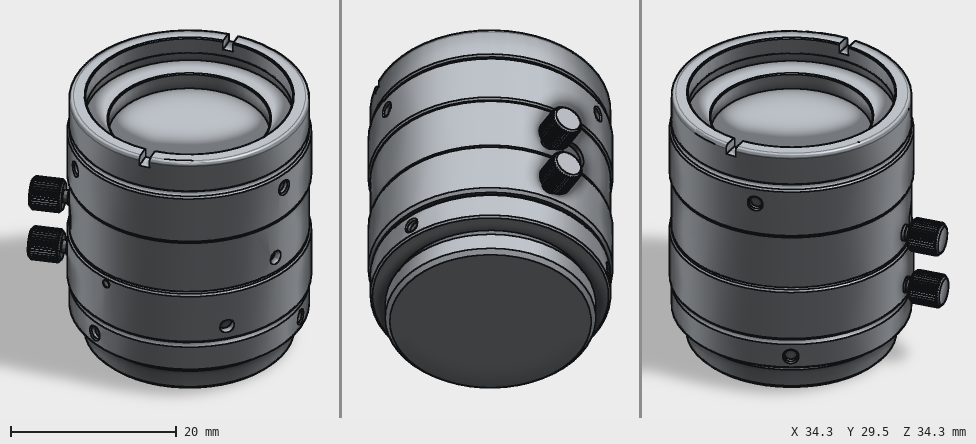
import cadquery as cq
import math


SMALL_RING_RADIUS = 14.5
LARGE_RING_RADIUS = 14.75
CORE_RADIUS = 14.0
MOUNT_RADIUS = 12.7
MOUNT_RELIEF_RADIUS = 12.0
NECK_RADIUS = 10.85

MOUNT_TOP = 2.8
REAR_RING_BOTTOM = 4.05
REAR_RING_TOP = 7.9
FOCUS_RING_BOTTOM = 8.1
FOCUS_RING_TOP = 15.25
IRIS_RING_BOTTOM = 15.55
IRIS_RING_TOP = 22.6
FRONT_RING_BOTTOM = 22.8
FRONT_RING_TOP = 29.45
BARREL_BOTTOM = 29.95
BARREL_TOP = 34.31

SMALL_CHAMFER = 0.25
LARGE_CHAMFER = 0.4
MOUNT_CHAMFER = 0.55
BARREL_FILLET = 0.5

FILTER_RADIUS = 12.5
FILTER_LENGTH = 2.2
FILTER_RELIEF_RADIUS = 12.65
POCKET_DEPTH = 3.35
BORE_RADIUS = 9.75
BORE_DEPTH = 5.5
OPENING_CHAMFER = 0.15
SPANNER_SLOT_WIDTH = 1.3
SPANNER_SLOT_DEPTH = 1.25
BORE_FLOOR = BARREL_TOP - BORE_DEPTH

SET_HOLE_RADIUS = 0.8
SET_HOLE_DEPTH = 0.7
SET_HOLE_CHAMFER = 0.2
SET_HOLE_COUNT = 3
SET_HOLE_PITCH = 360 / SET_HOLE_COUNT
FRONT_HOLE_ANGLE = 103
FRONT_HOLE_HEIGHT = 27.2
REAR_HOLE_ANGLE = 0
REAR_HOLE_HEIGHT = 5.8

FOCUS_SCREW_HEIGHT = 10.25
IRIS_SCREW_HEIGHT = 17.55
SCREW_ANGLE = 190
FOCUS_SCREW_REACH = 19.6
IRIS_SCREW_REACH = 19.45
HEAD_LENGTH = 4.0
HEAD_CHAMFER = 0.4
KNURL_TIP_RADIUS = 2.05
KNURL_ROOT_RADIUS = 1.85
KNURL_TEETH = 36
SCREW_NECK_RADIUS = 0.8
SCREW_NECK_LENGTH = 0.6
SHANK_RADIUS = 1.0

PLAIN_HOLE_RADIUS = 0.9
PLAIN_HOLE_DEPTH = 1.0
FOCUS_HOLE_ANGLE = 310
IRIS_HOLE_ANGLE = 338
SPOTFACE_RADIUS = 1.75
SPOTFACE_DEPTH = 0.6
SPOTFACE_ANGLE = 205

DOT_RADIUS = 0.5
DOT_DEPTH = 0.1
DOT_ANGLE = 249
DOT_HEIGHT = 14.2


def disc(bottom, top, radius, bottom_chamfer=0, top_chamfer=0):
    """Round disc on the Z axis with optional chamfers on its rims."""
    body = cq.Workplane("XY").workplane(offset=bottom).circle(radius).extrude(top - bottom)
    if bottom_chamfer:
        body = body.faces("<Z").chamfer(bottom_chamfer)
    if top_chamfer:
        body = body.faces(">Z").chamfer(top_chamfer)
    return body


def radial_plane(angle, distance, height):
    """Workplane facing outward at an angle around the Z axis and a distance from it."""
    outward = cq.Vector(math.cos(math.radians(angle)), math.sin(math.radians(angle)), 0)
    origin = outward * distance + cq.Vector(0, 0, height)
    return cq.Workplane(cq.Plane(origin=origin, xDir=(0, 0, 1), normal=outward))


def radial_hole(surface_radius, angle, height, radius, depth):
    """Cutter for a flat-bottomed radial hole in a ring."""
    return radial_plane(angle, surface_radius - depth, height).circle(radius).extrude(2 * depth)


def set_hole(surface_radius, angle, height):
    """Cutter for a set screw hole with a chamfered mouth."""
    hole = radial_hole(surface_radius, angle, height, SET_HOLE_RADIUS, SET_HOLE_DEPTH)
    mouth = (
        radial_plane(angle, surface_radius - SET_HOLE_CHAMFER, height)
        .circle(SET_HOLE_RADIUS)
        .workplane(offset=SET_HOLE_CHAMFER)
        .circle(SET_HOLE_RADIUS + SET_HOLE_CHAMFER)
        .loft()
    )
    return hole.union(mouth)


def thumbscrew(reach, height):
    """Knurled radial screw whose outer face is at `reach` from the Z axis."""
    head_base = reach - HEAD_LENGTH
    shank_end = head_base - SCREW_NECK_LENGTH
    half_tooth = math.pi / KNURL_TEETH
    knurl_points = []
    for i in range(2 * KNURL_TEETH):
        radius = KNURL_ROOT_RADIUS if i % 2 else KNURL_TIP_RADIUS
        angle = i * half_tooth
        knurl_points.append((radius * math.cos(angle), radius * math.sin(angle)))

    base = radial_plane(SCREW_ANGLE, head_base, height)
    knurl = base.polyline(knurl_points).close().extrude(HEAD_LENGTH)
    envelope = base.circle(KNURL_TIP_RADIUS).extrude(HEAD_LENGTH).edges().chamfer(HEAD_CHAMFER)
    neck = base.circle(SCREW_NECK_RADIUS).extrude(-SCREW_NECK_LENGTH)
    shank_root = radial_plane(SCREW_ANGLE, CORE_RADIUS, height)
    shank = shank_root.circle(SHANK_RADIUS).extrude(shank_end - CORE_RADIUS)
    return knurl.intersect(envelope).union(neck).union(shank)


def make_housing():
    """Mount, core and the four rings, with holes and both thumbscrews."""
    body = disc(0, MOUNT_TOP, MOUNT_RADIUS, bottom_chamfer=MOUNT_CHAMFER)
    body = body.union(disc(MOUNT_TOP, REAR_RING_BOTTOM, MOUNT_RELIEF_RADIUS))
    body = body.union(disc(REAR_RING_TOP, FRONT_RING_BOTTOM, CORE_RADIUS))
    rings = [
        disc(REAR_RING_BOTTOM, REAR_RING_TOP, SMALL_RING_RADIUS, SMALL_CHAMFER, LARGE_CHAMFER),
        disc(FOCUS_RING_BOTTOM, FOCUS_RING_TOP, LARGE_RING_RADIUS, LARGE_CHAMFER, SMALL_CHAMFER),
        disc(IRIS_RING_BOTTOM, IRIS_RING_TOP, SMALL_RING_RADIUS),
        disc(FRONT_RING_BOTTOM, FRONT_RING_TOP, LARGE_RING_RADIUS, SMALL_CHAMFER, SMALL_CHAMFER),
    ]
    for ring in rings:
        body = body.union(ring)

    body = body.cut(disc(BORE_FLOOR, FRONT_RING_TOP, NECK_RADIUS))

    for i in range(SET_HOLE_COUNT):
        turn = i * SET_HOLE_PITCH
        body = body.cut(set_hole(LARGE_RING_RADIUS, FRONT_HOLE_ANGLE + turn, FRONT_HOLE_HEIGHT))
        body = body.cut(set_hole(SMALL_RING_RADIUS, REAR_HOLE_ANGLE + turn, REAR_HOLE_HEIGHT))

    plain_holes = [
        (LARGE_RING_RADIUS, FOCUS_HOLE_ANGLE, FOCUS_SCREW_HEIGHT, PLAIN_HOLE_RADIUS, PLAIN_HOLE_DEPTH),
        (SMALL_RING_RADIUS, IRIS_HOLE_ANGLE, IRIS_SCREW_HEIGHT, PLAIN_HOLE_RADIUS, PLAIN_HOLE_DEPTH),
        (SMALL_RING_RADIUS, SPOTFACE_ANGLE, IRIS_SCREW_HEIGHT, SPOTFACE_RADIUS, SPOTFACE_DEPTH),
        (LARGE_RING_RADIUS, DOT_ANGLE, DOT_HEIGHT, DOT_RADIUS, DOT_DEPTH),
    ]
    for hole in plain_holes:
        body = body.cut(radial_hole(*hole))

    body = body.union(thumbscrew(FOCUS_SCREW_REACH, FOCUS_SCREW_HEIGHT))
    return body.union(thumbscrew(IRIS_SCREW_REACH, IRIS_SCREW_HEIGHT))


def flared_mouth(top, radius):
    """Cutter that chamfers the upper rim of a bore."""
    mouth = cq.Workplane("XY").workplane(offset=top - OPENING_CHAMFER).circle(radius)
    return mouth.workplane(offset=OPENING_CHAMFER).circle(radius + OPENING_CHAMFER).loft()


def make_front_barrel():
    """Front rim with filter opening and spanner slots, on a neck that enters the housing."""
    filter_end = BARREL_TOP - FILTER_LENGTH
    pocket_floor = BARREL_TOP - POCKET_DEPTH
    rim = disc(BARREL_BOTTOM, BARREL_TOP, SMALL_RING_RADIUS, bottom_chamfer=SMALL_CHAMFER)
    rim = rim.faces(">Z").edges().fillet(BARREL_FILLET)
    body = rim.union(disc(BORE_FLOOR, BARREL_BOTTOM, NECK_RADIUS))

    filter_bore = disc(filter_end, BARREL_TOP, FILTER_RADIUS)
    filter_bore = filter_bore.union(flared_mouth(BARREL_TOP, FILTER_RADIUS))
    body = body.cut(filter_bore)
    body = body.cut(disc(pocket_floor, filter_end, FILTER_RELIEF_RADIUS))
    bore = disc(BORE_FLOOR, pocket_floor, BORE_RADIUS)
    bore = bore.union(flared_mouth(pocket_floor, BORE_RADIUS))
    body = body.cut(bore)

    slot = cq.Workplane("XY").workplane(offset=BARREL_TOP - SPANNER_SLOT_DEPTH)
    slot = slot.rect(SPANNER_SLOT_WIDTH, 2 * LARGE_RING_RADIUS).extrude(SPANNER_SLOT_DEPTH)
    return body.cut(slot)


housing = make_housing()
front_barrel = make_front_barrel()

result = cq.Compound.makeCompound([housing.val(), front_barrel.val()])